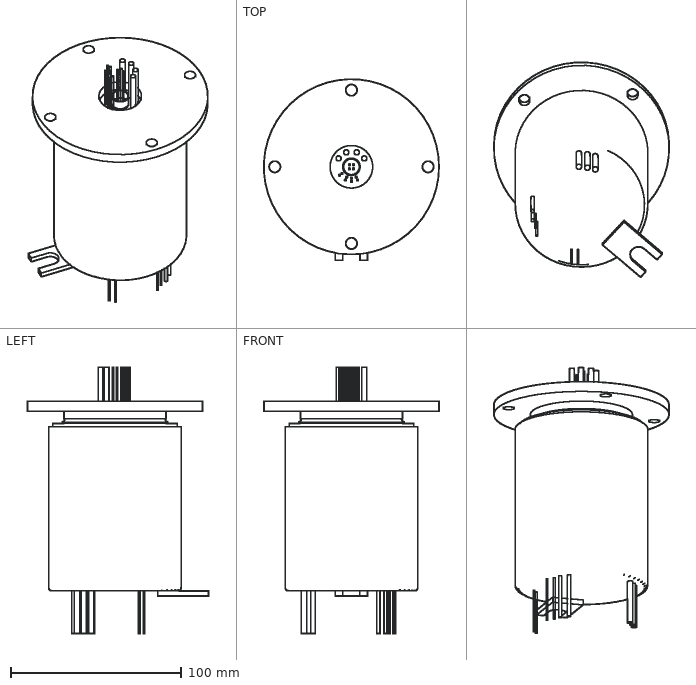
import cadquery as cq
import math


housing_height = 96.5
housing_diameter = 78.0
housing_edge_radius = 2.0
shoulder_height = 1.9
shoulder_diameter = 73.2
overall_body_height = 111.5
flange_diameter = 103.0
flange_thickness = 6.0
neck_diameter = 60.0

seal_groove_diameter = 59.0
seal_lip_diameter = 62.0
seal_lip_rise = 0.8
seal_groove_rise = 2.6
seal_flare_bow = 0.35

mount_hole_count = 4
mount_hole_diameter = 6.5
mount_hole_circle_radius = 45.0

recess_diameter = 25.0
tube_outer_diameter = 10.2
tube_wall = 0.5

upper_power_wire_diameter = 3.0
lower_power_wire_diameter = 3.2
medium_wire_diameter = 2.0
signal_wire_diameter = 1.0
upper_wire_length = 20.0
lower_wire_length = 25.0

power_circle_radius = 9.0
power_wire_angles = (33, 70, 110, 147)
core_wire_offset = 1.2
signal_circle_radii = (6.7, 8.6)
signal_wire_angles = (215.5, 245.5, 270, 294.5)

lower_power_points = [(-27.9, 14.1), (-25.6, 18.3), (-22.7, 22.4)]
lower_medium_points = [(15.8, 24.4), (20.0, 20.5)]
lower_signal_points = [(22.3, 16.3), (25.5, 12.5), (24.7, -14.2), (22.3, -17.1)]

bracket_width = 19.0
bracket_thickness = 3.0
bracket_inner_y = -25.0
bracket_outer_y = -55.0
fork_slot_width = 10.0
fork_slot_straight_length = 10.0
fork_slot_center_y = bracket_outer_y + fork_slot_straight_length

shoulder_top = housing_height + shoulder_height
flange_bottom = overall_body_height - flange_thickness
wire_top = overall_body_height + upper_wire_length


def polar_point(radius, angle):
    """Return the XY point at a radius and an angle in degrees."""
    return (radius * math.cos(math.radians(angle)), radius * math.sin(math.radians(angle)))


def make_body():
    """Revolve the housing, shoulder, seal, neck and flange as one profile."""
    lip_level = shoulder_top + seal_lip_rise
    groove_level = shoulder_top + seal_groove_rise
    profile = (
        cq.Workplane("XZ")
        .lineTo(housing_diameter / 2, 0)
        .lineTo(housing_diameter / 2, housing_height)
        .lineTo(shoulder_diameter / 2, housing_height)
        .lineTo(shoulder_diameter / 2, shoulder_top)
        .lineTo(neck_diameter / 2, shoulder_top)
        .lineTo(seal_lip_diameter / 2, lip_level)
        .threePointArc(
            (seal_groove_diameter / 2 + seal_flare_bow, (lip_level + groove_level) / 2),
            (seal_groove_diameter / 2, groove_level),
        )
        .lineTo(neck_diameter / 2, groove_level)
        .lineTo(neck_diameter / 2, flange_bottom)
        .lineTo(flange_diameter / 2, flange_bottom)
        .lineTo(flange_diameter / 2, overall_body_height)
        .lineTo(0, overall_body_height)
        .close()
    )
    body = profile.revolve(360, (0, 0, 0), (0, 1, 0))
    return body.faces("<Z").edges().fillet(housing_edge_radius)


def cut_flange_openings(body):
    """Cut the mounting holes and the cable recess through the flange plate."""
    openings = (
        cq.Workplane("XY", origin=(0, 0, flange_bottom))
        .polarArray(mount_hole_circle_radius, 0, 360, mount_hole_count)
        .circle(mount_hole_diameter / 2)
        .extrude(flange_thickness)
    )
    recess = (
        cq.Workplane("XY", origin=(0, 0, flange_bottom))
        .circle(recess_diameter / 2)
        .extrude(flange_thickness)
    )
    return body.cut(openings).cut(recess)


def make_guide_tube():
    """Thin tube standing on the recess floor, flush with the flange face."""
    return (
        cq.Workplane("XY", origin=(0, 0, flange_bottom))
        .circle(tube_outer_diameter / 2)
        .circle(tube_outer_diameter / 2 - tube_wall)
        .extrude(flange_thickness)
    )


def make_wires(points, diameter, bottom, top):
    """Straight vertical wires at the given points."""
    return (
        cq.Workplane("XY", origin=(0, 0, bottom))
        .pushPoints(points)
        .circle(diameter / 2)
        .extrude(top - bottom)
    )


def add_upper_wires(body):
    """Wires rising from the recess floor to above the flange."""
    power_points = [polar_point(power_circle_radius, angle) for angle in power_wire_angles]
    signs = (-1, 1)
    signal_points = [(i * core_wire_offset, j * core_wire_offset) for i in signs for j in signs]
    for angle in signal_wire_angles:
        signal_points += [polar_point(radius, angle) for radius in signal_circle_radii]
    body = body.union(make_wires(power_points, upper_power_wire_diameter, flange_bottom, wire_top))
    return body.union(make_wires(signal_points, signal_wire_diameter, flange_bottom, wire_top))


def add_lower_wires(body):
    """Wires hanging from the underside of the housing."""
    groups = (
        (lower_power_points, lower_power_wire_diameter),
        (lower_medium_points, medium_wire_diameter),
        (lower_signal_points, signal_wire_diameter),
    )
    for points, diameter in groups:
        body = body.union(make_wires(points, diameter, -lower_wire_length, 0))
    return body


def make_bracket():
    """Flat bracket with an open round-ended slot at its outer end."""
    bracket = (
        cq.Workplane("XY")
        .center(0, (bracket_inner_y + bracket_outer_y) / 2)
        .rect(bracket_width, bracket_inner_y - bracket_outer_y)
        .extrude(-bracket_thickness)
    )
    half_slot = fork_slot_width / 2
    slot = (
        cq.Workplane("XY")
        .moveTo(-half_slot, bracket_outer_y)
        .lineTo(-half_slot, fork_slot_center_y)
        .threePointArc((0, fork_slot_center_y + half_slot), (half_slot, fork_slot_center_y))
        .lineTo(half_slot, bracket_outer_y)
        .close()
        .extrude(-bracket_thickness)
    )
    return bracket.cut(slot)


body = cut_flange_openings(make_body())
body = body.union(make_guide_tube())
body = add_upper_wires(body)
body = add_lower_wires(body)
result = body.union(make_bracket())